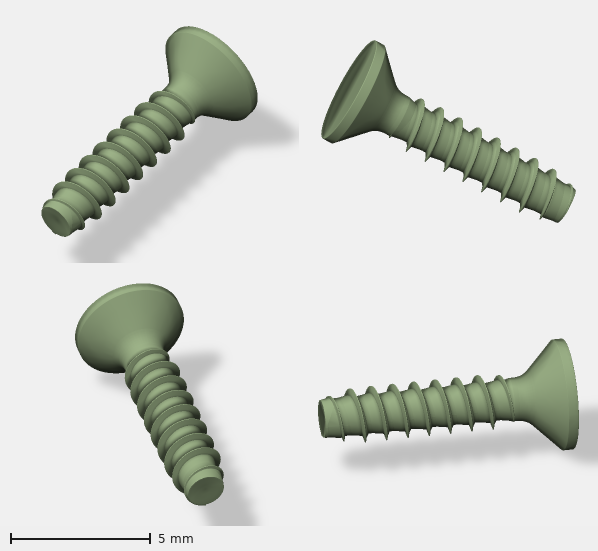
import cadquery as cq
import math

LENGTH = 9.0

HEAD_RADIUS = 2.0
RIM_HEIGHT = 0.37
CONE_ANGLE = math.radians(45)
RIM_ROUND = 0.03
NECK_RADIUS = 0.78
NECK_FILLET = 0.78
NECK_LENGTH = 0.18
NECK_TAPER_LENGTH = 0.31

CORE_RADIUS = 0.69
TIP_RADIUS = 0.675
TIP_CONE_LENGTH = 0.36
TIP_RECESS_RADIUS = 0.64
TIP_RECESS_DEPTH = 0.09

LEAD_TURNS = 9
LEAD_LENGTH = 7.02
PITCH = LEAD_LENGTH / LEAD_TURNS
CREST_RADIUS = 1.0
CREST_HALF_WIDTH = 0.0135
KNEE_RADIUS = 0.82
KNEE_OFFSET = 0.06
HEAD_FLANK_OFFSET = 0.14
TIP_FLANK_OFFSET = 0.09
FLARE_RADIUS = 0.76
FLARE_START = 0.04
FLARE_LENGTH = 0.48
BURIED_RADIUS = 0.63
START_ANGLE = 90.0
TIP_FADE_TURNS = 1.5
FULL_TURNS = 6.5
HEAD_FADE_TURNS = 1.25
FADE_PER_TURN = 0.19

rim_bottom = LENGTH - RIM_HEIGHT
fillet_drop = NECK_FILLET * math.sin(CONE_ANGLE)
fillet_radius = NECK_RADIUS + NECK_FILLET * (1 - math.cos(CONE_ANGLE))
cone_bottom = rim_bottom - (HEAD_RADIUS - fillet_radius) / math.tan(CONE_ANGLE)
neck_top = cone_bottom - fillet_drop
neck_bottom = neck_top - NECK_LENGTH
core_top = neck_bottom - NECK_TAPER_LENGTH
core_bottom = TIP_CONE_LENGTH * (CORE_RADIUS - TIP_RADIUS) / (FLARE_RADIUS - TIP_RADIUS)
full_end = TIP_FADE_TURNS + FULL_TURNS

TIP_FOOT = (FLARE_RADIUS, -TIP_FLANK_OFFSET)


def make_body():
    """Head, neck and core as one turned solid."""
    half_angle = CONE_ANGLE / 2
    fillet_middle = (
        NECK_RADIUS + NECK_FILLET * (1 - math.cos(half_angle)),
        neck_top + NECK_FILLET * math.sin(half_angle),
    )
    body = (
        cq.Workplane("XZ")
        .lineTo(TIP_RADIUS, 0)
        .lineTo(CORE_RADIUS, core_bottom)
        .lineTo(CORE_RADIUS, core_top)
        .lineTo(NECK_RADIUS, neck_bottom)
        .lineTo(NECK_RADIUS, neck_top)
        .threePointArc(fillet_middle, (fillet_radius, cone_bottom))
        .lineTo(HEAD_RADIUS, rim_bottom)
        .lineTo(HEAD_RADIUS, LENGTH)
        .lineTo(0, LENGTH)
        .close()
        .revolve(360, (0, 0), (0, 1))
    )
    return body.edges(cq.selectors.RadiusNthSelector(-1)).fillet(RIM_ROUND)


def helical_ridge(profile, first_turn, turns, rise_per_turn=0.0):
    """Wind a closed (radius, height) profile around the axis, drifting outwards each turn."""
    slope = math.atan2(rise_per_turn, PITCH)
    slant_pitch = PITCH / math.cos(slope)
    cone_angle = math.degrees(slope) if rise_per_turn else 360
    helices = [
        cq.Wire.makeHelix(
            slant_pitch, slant_pitch * turns, radius,
            cq.Vector(0, 0, height), cq.Vector(0, 0, 1), cone_angle,
        )
        for radius, height in profile
    ]
    next_helices = helices[1:] + helices[:1]
    faces = [cq.Face.makeRuledSurface(a, b) for a, b in zip(helices, next_helices)]
    for end in (0, 1):
        corners = [helix.positionAt(end) for helix in helices]
        faces.append(cq.Face.makeFromWires(cq.Wire.makePolygon(corners, close=True)))
    ridge = cq.Solid.makeSolid(cq.Shell.makeShell(faces)).fix()
    return (
        cq.Workplane(ridge)
        .rotate((0, 0, 0), (0, 0, 1), START_ANGLE + 360 * first_turn)
        .translate((0, 0, PITCH * first_turn))
    )


def sunk_foot(foot, upper):
    """Prolong the straight flank from upper through foot down to the buried radius."""
    run = (upper[1] - foot[1]) / (upper[0] - foot[0])
    return (BURIED_RADIUS, foot[1] - run * (foot[0] - BURIED_RADIUS))


def make_flare():
    """Core flare: widest under the tip-side flank, narrowing to the core towards the tip."""
    flare = [
        (BURIED_RADIUS, FLARE_START),
        (CORE_RADIUS, FLARE_START),
        TIP_FOOT,
        (CORE_RADIUS, -FLARE_LENGTH),
        (BURIED_RADIUS, -FLARE_LENGTH),
    ]
    tip_cone = cq.Solid.makeCone(TIP_RADIUS, FLARE_RADIUS, TIP_CONE_LENGTH)
    upper_zone = (
        cq.Workplane("XY", origin=(0, 0, TIP_CONE_LENGTH))
        .circle(FLARE_RADIUS)
        .extrude(neck_bottom - TIP_CONE_LENGTH)
    )
    ridge = helical_ridge(flare, 0, full_end + HEAD_FADE_TURNS)
    return ridge.intersect(upper_zone.union(cq.Workplane(tip_cone)))


def make_tooth():
    """Thread tooth in three stretches: rising at the tip, full, and sinking at the neck."""
    head_foot = (CORE_RADIUS, HEAD_FLANK_OFFSET)
    knee = (KNEE_RADIUS, KNEE_OFFSET)
    head_crest = (CREST_RADIUS, CREST_HALF_WIDTH)
    tip_crest = (CREST_RADIUS, -CREST_HALF_WIDTH)
    tooth = [
        sunk_foot(head_foot, knee),
        knee,
        head_crest,
        tip_crest,
        sunk_foot(TIP_FOOT, tip_crest),
    ]
    fade_depth = FADE_PER_TURN * TIP_FADE_TURNS
    tip_tooth = [(radius - fade_depth, height) for radius, height in tooth]
    stretches = [
        helical_ridge(tip_tooth, 0, TIP_FADE_TURNS, FADE_PER_TURN),
        helical_ridge(tooth, TIP_FADE_TURNS, FULL_TURNS),
        helical_ridge(tooth, full_end, HEAD_FADE_TURNS, -FADE_PER_TURN),
    ]
    zone = cq.Workplane("XY").circle(HEAD_RADIUS).extrude(neck_bottom)
    return [stretch.intersect(zone) for stretch in stretches]


def make_tip_recess():
    """Shallow cone hollowed into the end face."""
    return cq.Workplane(cq.Solid.makeCone(TIP_RECESS_RADIUS, 0, TIP_RECESS_DEPTH))


screw = make_body().union(make_flare())
for stretch in make_tooth():
    screw = screw.union(stretch)
screw = screw.cut(make_tip_recess())
result = screw.rotate((0, 0, 0), (1, 0, 0), -90)